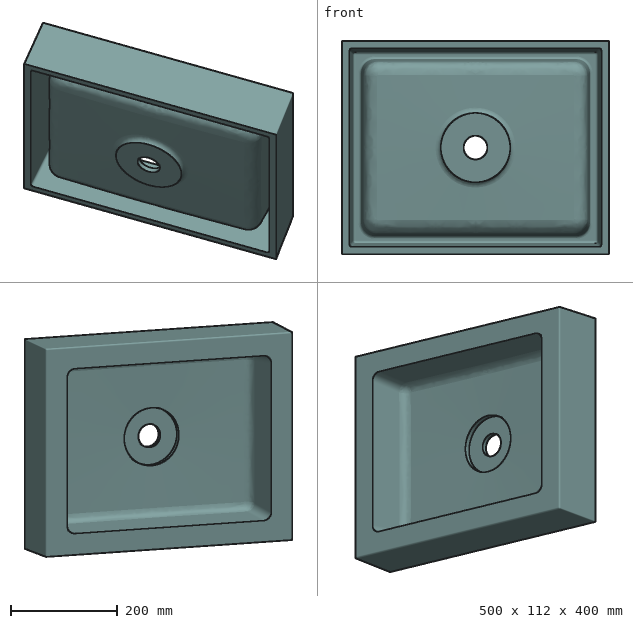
import cadquery as cq
import math


WIDTH = 500.0
HEIGHT = 400.0
DEPTH = 104.0
OUTER_DRAFT = 1.0
CORNER_RADIUS = 2.0
RIM_RADIUS = 3.0

SHELL = 10.0
SKIRT_WALL = 14.0
SKIRT_DEPTH = DEPTH - SHELL
SKIRT_DRAFT = 4.5
SKIRT_RADIUS = 5.0

BOWL_WIDTH = 429.0
BOWL_HEIGHT = 332.0
BOWL_DRAFT = 4.5
BOWL_RADIUS = 26.0
BOWL_ROOT_RADIUS = 5.0
FLOOR_SLOPE = 1.5
FLOOR_CENTRE_Y = 1.5

DRAIN_RADIUS = 65.0
DRAIN_PROTRUSION = 8.0
DRAIN_ROOT_RADIUS = 10.0
DRAIN_HOLE_DIAMETER = 44.0

EDGE_TOLERANCE = 0.1

SLANTED_EDGES = "not(|X or |Z)"


def growth(distance, angle):
    """Sideways shift of a surface leaning by angle over the given distance."""
    return distance * math.tan(math.radians(angle))


def plane_at(y):
    """XZ plane at the given y, facing -Y."""
    return cq.Workplane("XZ", origin=(0, y, 0))


def block_from_underside(width, height, depth, draft):
    """Block growing from y = 0 towards +Y and narrowing on the way."""
    underside = cq.Plane(origin=(0, 0, 0), xDir=(1, 0, 0), normal=(0, 1, 0))
    return cq.Workplane(underside).rect(width, height).extrude(depth, taper=draft)


def drain_disc(start_y, end_y, radius):
    """Cylinder on the drain axis between two y levels."""
    return plane_at(end_y).circle(radius).extrude(end_y - start_y)


def edges_between(solid, low_y, high_y, reach):
    """Edges centred between two y levels and within reach of the drain axis in X and Z."""
    return solid.edges(cq.selectors.BoxSelector((-reach, low_y, -reach), (reach, high_y, reach)))


def edges_at(solid, y, reach):
    """Edges centred on one y level and within reach of the drain axis in X and Z."""
    return edges_between(solid, y - EDGE_TOLERANCE, y + EDGE_TOLERANCE, reach)


def outer_body():
    """Drafted block that narrows towards the rim."""
    block = block_from_underside(WIDTH, HEIGHT, DEPTH, OUTER_DRAFT)
    block = block.edges(SLANTED_EDGES).fillet(CORNER_RADIUS)
    return block.faces(">Y").edges().fillet(RIM_RADIUS)


def skirt_hollow():
    """Cavity under the rim, open at y = 0 and narrowing towards its ceiling."""
    width = WIDTH - 2 * SKIRT_WALL
    height = HEIGHT - 2 * SKIRT_WALL
    hollow = block_from_underside(width, height, SKIRT_DEPTH, SKIRT_DRAFT)
    return hollow.edges(f"({SLANTED_EDGES}) or >Y").fillet(SKIRT_RADIUS)


def floor_cone(floor_y, end_y):
    """Everything on the rim side of the conical floor, up to end_y."""
    reach = math.hypot(WIDTH, HEIGHT) / 2
    return (
        cq.Workplane("YZ")
        .moveTo(floor_y, 0)
        .lineTo(floor_y + growth(reach, FLOOR_SLOPE), reach)
        .lineTo(end_y, reach)
        .lineTo(end_y, 0)
        .close()
        .revolve(360, (0, 0, 0), (1, 0, 0))
    )


def bowl_volume(inset, end_y):
    """Rounded bowl lying inset inside the outer skin, from the floor up to end_y."""
    radius = BOWL_RADIUS - inset
    floor_y = FLOOR_CENTRE_Y + inset
    offset = growth(end_y - SKIRT_DEPTH, BOWL_DRAFT) - inset
    block = (
        plane_at(end_y)
        .rect(BOWL_WIDTH + 2 * offset, BOWL_HEIGHT + 2 * offset)
        .extrude(end_y, taper=BOWL_DRAFT)
        .edges(SLANTED_EDGES)
        .fillet(radius)
        .intersect(floor_cone(floor_y, end_y))
    )
    band_start = floor_y + growth(BOWL_HEIGHT / 3, FLOOR_SLOPE)
    band_end = floor_y + growth(WIDTH / 2, FLOOR_SLOPE)
    return edges_between(block, band_start, band_end, WIDTH).fillet(radius)


def bowl_skin():
    """Outer bowl with the drain seat standing on its floor."""
    seat = drain_disc(-DRAIN_PROTRUSION, SKIRT_DEPTH, DRAIN_RADIUS)
    skin = bowl_volume(0, SKIRT_DEPTH).union(seat)
    foot_y = FLOOR_CENTRE_Y + growth(DRAIN_RADIUS, FLOOR_SLOPE)
    foot = edges_at(skin, foot_y, DRAIN_RADIUS)
    return foot.fillet(DRAIN_ROOT_RADIUS)


def bowl_recess():
    """Bowl interior with the drain recess, open at the rim."""
    recess = drain_disc(SHELL - DRAIN_PROTRUSION, SKIRT_DEPTH, DRAIN_RADIUS - SHELL)
    return bowl_volume(SHELL, DEPTH).union(recess)


def basin():
    """Hollow body with the bowl shell hung in it and the drain hole bored through."""
    body = outer_body().cut(skirt_hollow()).union(bowl_skin())
    root = edges_at(body, SKIRT_DEPTH, BOWL_WIDTH / 2 + EDGE_TOLERANCE)
    body = root.fillet(BOWL_ROOT_RADIUS)
    hole = drain_disc(-DRAIN_PROTRUSION, DEPTH, DRAIN_HOLE_DIAMETER / 2)
    return body.cut(bowl_recess()).cut(hole)


result = basin()